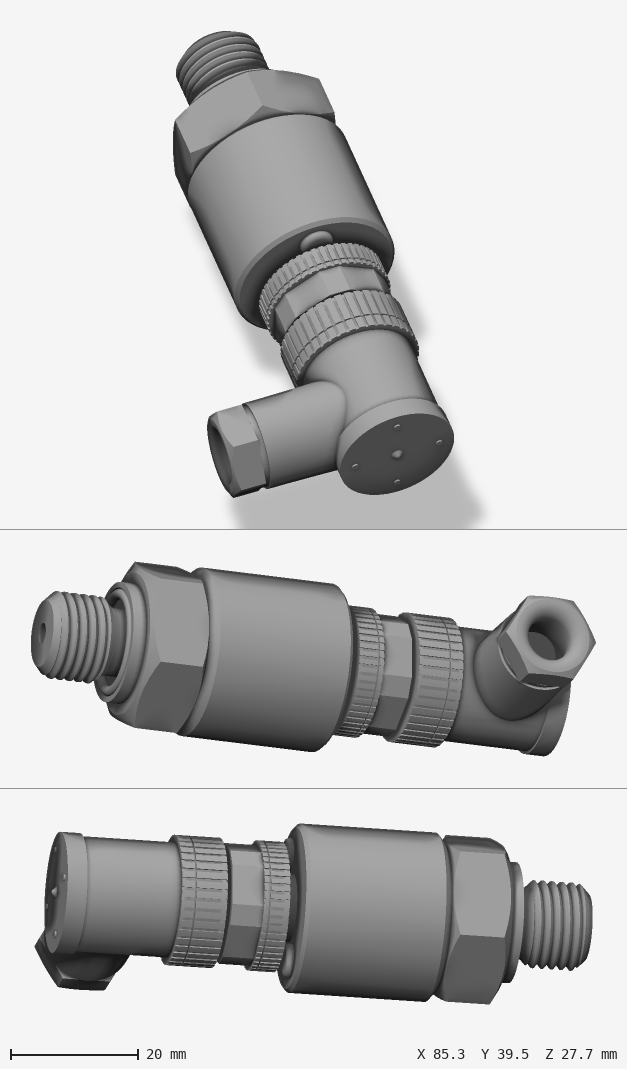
import cadquery as cq
import math


stud_radius = 6.9
stud_tip_radius = 5.3
stud_thread_end = 8.9
stud_neck_radius = 5.4
stud_neck_fillet = 1.5
port_diameter = 3.3
port_depth = 10.2

thread_pitch = 1.5
thread_groove_width = 1.3
thread_depth = 0.8
thread_start_x = 0.21
thread_overlap = 0.1

seal_ring_radius = 7.7
seal_section_radius = 0.81
seal_recess_radius = 8.6
seal_protrusion = 0.4
collar_x = 11.8
collar_radius = 19.0 / 2

hex_x = 13.9
hex_end_x = 23.6
hex_across_corners = 27.7
hex_front_radius = 11.25
hex_rear_radius = 11.8
barrel_radius = 13.3
barrel_front_chamfer = 1.3
barrel_end_x = 47.15
barrel_end_chamfer = 0.6

button_diameter = 5.4
button_height = 1.1
button_round = 0.8
button_offset = 8.8

nut_x = 49.2
nut_hex_x = 53.3
nut_end_x = 58.2
nut_across_flats = 18.1
nut_corner_trim_across = 18.9

knurl_radius = 10.2
knurl_slot_width = 0.5
knurl_slot_depth = 0.25
rim_groove_width = 0.25
rim_groove_depth = 0.3
nut_knurl_count = 50
nut_rim_groove_x = 52.3
plug_knurl_count = 40
plug_rim_groove_x = 64.1

plug_neck_radius = 11.0 / 2
plug_knurl_x = 59.2
plug_body_x = 66.4
plug_body_radius = 9.0
cap_x = 81.4
cap_radius = 19.0 / 2
cap_end_x = 84.6
centre_tip_x = 85.3
centre_tip_base_radius = 0.9
centre_tip_end_radius = 0.25
pip_diameter = 1.0
pip_height = 0.25
pip_offset = 7.0
pip_count = 4

branch_x = 75.5
branch_radius = 14.2 / 2
branch_end_radius = 7.0
branch_taper_start = plug_body_radius
branch_end = 20.3
branch_neck_radius = 6.6
gland_start = 21.2
gland_end = 26.2
gland_across_corners = 15.0
gland_face_radius = 6.05
cable_hole_radius = 3.5
cable_mouth_round = 2.05
cable_hole_depth = 8.5

CHAMFER_SLOPE = math.tan(math.radians(30))
CORNER_RATIO = 1 / math.cos(math.radians(30))


def turned(points):
    """Solid of revolution about X from (x, radius) points; its ends close on the axis."""
    outline = [(points[0][0], 0)] + points + [(points[-1][0], 0)]
    return cq.Workplane("XY").polyline(outline).close().revolve(360, (0, 0, 0), (1, 0, 0))


def cylinder(x_start, x_end, radius):
    return turned([(x_start, radius), (x_end, radius)])


def hexagon(x_start, x_end, across_corners, corner_angle):
    """Hexagonal prism along X, one corner at corner_angle degrees from +Y toward +Z."""
    prism = (
        cq.Workplane("YZ", origin=(x_start, 0, 0))
        .polygon(6, across_corners)
        .extrude(x_end - x_start)
    )
    return prism.rotate((0, 0, 0), (1, 0, 0), corner_angle)


def hex_chamfer_length(across_corners, face_radius):
    """Axial length of a 30 degree chamfer from the corners in to face_radius."""
    return (across_corners / 2 - face_radius) * CHAMFER_SLOPE


def knurled_rim(x_start, x_end, slot_count, groove_x):
    """Rim with axial slots, one of them at -Y, and one narrow groove around it."""
    rim = cylinder(x_start, x_end, knurl_radius)
    slot = cq.Workplane("XY").box(
        x_end - x_start, 2 * knurl_slot_depth, knurl_slot_width, centered=(False, True, True)
    ).translate((x_start, -knurl_radius, 0))
    slots = [
        slot.rotate((0, 0, 0), (1, 0, 0), i * 360 / slot_count).val() for i in range(slot_count)
    ]
    groove_end_x = groove_x + rim_groove_width
    groove = cylinder(groove_x, groove_end_x, knurl_radius).cut(
        cylinder(groove_x, groove_end_x, knurl_radius - rim_groove_depth)
    )
    return rim.cut(cq.Workplane(cq.Compound.makeCompound(slots))).cut(groove)


def thread_groove():
    """Helical V groove around X, from ahead of the tip to behind the threaded length."""
    root_radius = stud_radius - thread_depth
    outer_radius = stud_radius + thread_overlap
    half_width = thread_groove_width / 2 * (1 + thread_overlap / thread_depth)
    length = stud_thread_end + 2 * thread_pitch

    def helix(radius, axial_shift):
        return cq.Wire.makeHelix(thread_pitch, length, radius).translate(cq.Vector(0, 0, axial_shift))

    spirals = [helix(root_radius, 0), helix(outer_radius, half_width), helix(outer_radius, -half_width)]
    faces = [cq.Face.makeRuledSurface(spirals[i], spirals[(i + 1) % 3]) for i in range(3)]
    for end in (0, 1):
        corners = [spiral.positionAt(end) for spiral in spirals]
        faces.append(cq.Face.makeFromWires(cq.Wire.makePolygon(corners, close=True)))
    groove = cq.Workplane(cq.Solid.makeSolid(cq.Shell.makeShell(faces)))
    groove = groove.rotate((0, 0, 0), (1, 1, 1), 120)
    return groove.translate((thread_start_x - thread_pitch, 0, 0))


def make_stud():
    tip_chamfer = stud_radius - stud_tip_radius
    neck_x = stud_thread_end + stud_radius - stud_neck_radius
    stud = turned([
        (0, stud_tip_radius),
        (tip_chamfer, stud_radius),
        (stud_thread_end, stud_radius),
        (neck_x, stud_neck_radius),
        (hex_x, stud_neck_radius),
    ])
    neck_edge = cq.NearestToPointSelector((neck_x, 0, 0))
    return stud.edges(neck_edge).fillet(stud_neck_fillet).cut(thread_groove())


def make_sensor_hexagon():
    corner_radius = hex_across_corners / 2
    envelope = turned([
        (hex_x, hex_front_radius),
        (hex_x + hex_chamfer_length(hex_across_corners, hex_front_radius), corner_radius),
        (hex_end_x - hex_chamfer_length(hex_across_corners, hex_rear_radius), corner_radius),
        (hex_end_x, hex_rear_radius),
    ])
    return hexagon(hex_x, hex_end_x, hex_across_corners, 90).intersect(envelope)


def make_buttons():
    return (
        cq.Workplane("YZ", origin=(barrel_end_x, 0, 0))
        .pushPoints([(0, button_offset), (0, -button_offset)])
        .circle(button_diameter / 2)
        .extrude(button_height)
        .faces(">X")
        .edges()
        .fillet(button_round)
    )


def make_sensor():
    """Stud, collar, hexagon, barrel and the rear neck that fits into the coupling nut."""
    recess_floor_x = collar_x - seal_protrusion + 2 * seal_section_radius
    collar = cylinder(collar_x, hex_x, collar_radius).cut(
        cylinder(collar_x, recess_floor_x, seal_recess_radius)
    )
    barrel = turned([
        (hex_end_x, hex_rear_radius),
        (hex_end_x + barrel_front_chamfer, barrel_radius),
        (barrel_end_x - barrel_end_chamfer, barrel_radius),
        (barrel_end_x, barrel_radius - barrel_end_chamfer),
    ])
    rear_neck = cylinder(barrel_end_x, nut_hex_x, stud_neck_radius)
    port = cylinder(0, port_depth, port_diameter / 2)
    sensor = collar.union(make_stud()).union(make_sensor_hexagon()).union(barrel)
    return sensor.union(make_buttons()).union(rear_neck).cut(port)


def make_seal_ring():
    centre_x = collar_x - seal_protrusion + seal_section_radius
    return (
        cq.Workplane("XY")
        .center(centre_x, seal_ring_radius)
        .circle(seal_section_radius)
        .revolve(360, (0, -seal_ring_radius, 0), (1, -seal_ring_radius, 0))
    )


def make_coupling_nut():
    """Knurled rim with a corner-trimmed hexagon, bored for the sensor and plug necks."""
    rim = knurled_rim(nut_x, nut_hex_x, nut_knurl_count, nut_rim_groove_x)
    grip = hexagon(nut_hex_x, nut_end_x, nut_across_flats * CORNER_RATIO, 90).intersect(
        hexagon(nut_hex_x, nut_end_x, nut_corner_trim_across * CORNER_RATIO, 0)
    )
    sensor_bore = cylinder(nut_x, nut_hex_x, stud_neck_radius)
    plug_bore = cylinder(nut_hex_x, nut_end_x, plug_neck_radius)
    return rim.union(grip).cut(sensor_bore).cut(plug_bore)


def make_gland_hexagon():
    """Chamfered hexagon at the outer end of the branch, built along +X."""
    corner_radius = gland_across_corners / 2
    envelope = turned([
        (gland_start, corner_radius),
        (gland_end - hex_chamfer_length(gland_across_corners, gland_face_radius), corner_radius),
        (gland_end, gland_face_radius),
    ])
    return hexagon(gland_start, gland_end, gland_across_corners, 0).intersect(envelope)


def make_cable_hole():
    """Blind hole with a rounded, trumpet-shaped mouth, built along +X."""
    mouth_radius = cable_hole_radius + cable_mouth_round
    mouth_start = gland_end - cable_mouth_round
    arc_offset = cable_mouth_round * math.sqrt(0.5)
    return (
        cq.Workplane("XY")
        .moveTo(gland_end - cable_hole_depth, 0)
        .lineTo(gland_end - cable_hole_depth, cable_hole_radius)
        .lineTo(mouth_start, cable_hole_radius)
        .threePointArc((mouth_start + arc_offset, mouth_radius - arc_offset), (gland_end, mouth_radius))
        .lineTo(gland_end, 0)
        .close()
        .revolve(360, (0, 0, 0), (1, 0, 0))
    )


def to_branch(shape):
    """Turn a shape built along +X onto the branch axis, which points to -Y."""
    return shape.rotate((0, 0, 0), (0, 0, 1), -90).translate((branch_x, 0, 0))


def make_plug_end():
    """Raised centre tip and the ring of small pips on the end cap."""
    tip = turned([(cap_end_x, centre_tip_base_radius), (centre_tip_x, centre_tip_end_radius)])
    pips = (
        cq.Workplane("YZ", origin=(cap_end_x, 0, 0))
        .polarArray(pip_offset, 0, 360, pip_count)
        .circle(pip_diameter / 2)
        .extrude(pip_height)
    )
    return tip.union(pips)


def make_plug():
    """Elbow of the plug: neck, knurled rim, body, end cap and cable branch with its gland."""
    plug = knurled_rim(plug_knurl_x, plug_body_x, plug_knurl_count, plug_rim_groove_x)
    plug = plug.union(cylinder(nut_hex_x, plug_knurl_x, plug_neck_radius))
    plug = plug.union(cylinder(plug_body_x, cap_x, plug_body_radius))
    plug = plug.union(cylinder(cap_x, cap_end_x, cap_radius))
    plug = plug.union(make_plug_end())
    branch = turned([
        (0, branch_radius),
        (branch_taper_start, branch_radius),
        (branch_end, branch_end_radius),
        (branch_end, branch_neck_radius),
        (gland_start, branch_neck_radius),
    ])
    branch = branch.union(make_gland_hexagon()).cut(make_cable_hole())
    return plug.union(to_branch(branch))


sensor = make_sensor()
seal_ring = make_seal_ring()
coupling_nut = make_coupling_nut()
plug = make_plug()

result = cq.Compound.makeCompound(
    [sensor.val(), seal_ring.val(), coupling_nut.val(), plug.val()]
)